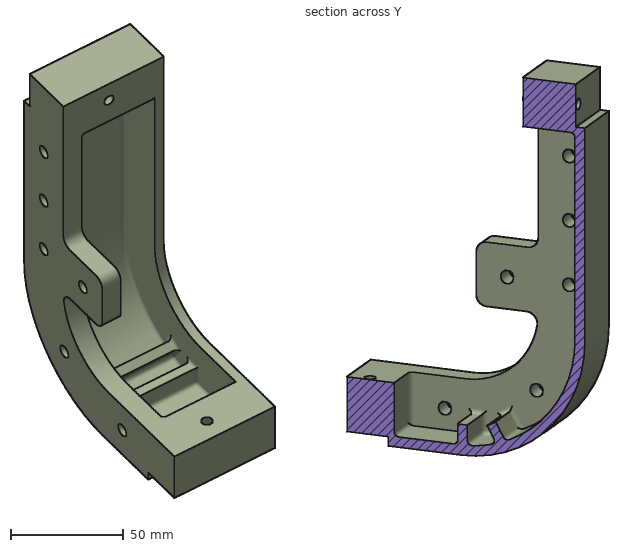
import cadquery as cq
import math

width = 115.0
depth = 55.0
height = 180.0
arm = 30.0
outer_radius = 60.0
inner_radius = 35.0
arc_start = arm + inner_radius

rebate_depth = 4.3
rebate_length = 20.0

front_wall = 10.0
tab_reach = 60.0
tab_bottom = arc_start
tab_height = 30.0
tab_round = 5.0

wall = 5.0
end_block = 23.0
channel_fillet = 2.0
channel_depth = depth - front_wall - wall
opening_margin = 18.0
tolerance = 0.02

rib_width = 4.9
rib_height = 9.5
rib_sink = 2.7
leaning_rib = (40.5, 8.3, 30.0)
upright_rib = (59.13, wall, 0.0)

front_hole = 6.1
end_hole = 5.0
end_hole_y = 25.0
end_hole_inset = 10.0
front_hole_places = [
    (arm / 2, 140.0),
    (arm / 2, 110.0),
    (arm / 2, 80.0),
    (30.8, 28.8),
    (75.0, arm / 2),
    (45.0, 80.0),
]


def plane_at(y):
    """XZ plane at the given Y whose extrusions run towards +Y."""
    return cq.Workplane(cq.Plane(origin=(0, y, 0), xDir=(1, 0, 0), normal=(0, -1, 0)))


def bend_point(radius, centre=outer_radius):
    """Middle point (X, Z) of a quarter bend whose centre lies on the diagonal X = Z."""
    along = centre - radius * math.sqrt(0.5)
    return (along, along)


def make_arm():
    """Solid L-shaped arm with its rounded bend and the rebates at both ends."""
    return (
        plane_at(0)
        .moveTo(0, outer_radius)
        .threePointArc(bend_point(outer_radius), (outer_radius, 0))
        .lineTo(width - rebate_length, 0)
        .lineTo(width - rebate_length, rebate_depth)
        .lineTo(width, rebate_depth)
        .lineTo(width, arm)
        .lineTo(arc_start, arm)
        .threePointArc(bend_point(inner_radius, arc_start), (arm, arc_start))
        .lineTo(arm, height)
        .lineTo(rebate_depth, height)
        .lineTo(rebate_depth, height - rebate_length)
        .lineTo(0, height - rebate_length)
        .close()
        .extrude(-depth)
    )


def make_tab():
    """Tab with rounded outer corners and concave rounds where it leaves the arm."""
    tab_top = tab_bottom + tab_height
    round_x = arc_start - math.sqrt((inner_radius - tab_round) ** 2 - tab_round**2)
    touch_angle = math.pi + math.asin(tab_round / (inner_radius - tab_round))
    mid_angle = (math.pi / 2 + touch_angle) / 2
    touch_x = arc_start + inner_radius * math.cos(touch_angle)
    touch_z = arc_start + inner_radius * math.sin(touch_angle)
    lower_mid = (
        round_x + tab_round * math.cos(mid_angle),
        tab_bottom - tab_round + tab_round * math.sin(mid_angle),
    )
    corner_mid = tab_round * (1 - math.sqrt(0.5))
    return (
        plane_at(0)
        .moveTo(arm / 2, touch_z)
        .lineTo(touch_x, touch_z)
        .threePointArc(lower_mid, (round_x, tab_bottom))
        .lineTo(tab_reach - tab_round, tab_bottom)
        .threePointArc(
            (tab_reach - corner_mid, tab_bottom + corner_mid), (tab_reach, tab_bottom + tab_round)
        )
        .lineTo(tab_reach, tab_top - tab_round)
        .threePointArc(
            (tab_reach - corner_mid, tab_top - corner_mid), (tab_reach - tab_round, tab_top)
        )
        .lineTo(arm + tab_round, tab_top)
        .threePointArc((arm + corner_mid, tab_top + corner_mid), (arm, tab_top + tab_round))
        .lineTo(arm / 2, tab_top + tab_round)
        .close()
        .extrude(-front_wall)
    )


def make_rib(foot_x, foot_z, lean):
    """Rib across the channel, sunk below its foot and tilted towards +X."""
    rib = (
        cq.Workplane("XY")
        .box(rib_width, channel_depth, rib_height + rib_sink, centered=(True, False, False))
        .translate((0, 0, -rib_sink))
        .rotate((0, 0, 0), (0, 1, 0), lean)
    )
    return rib.translate((foot_x, front_wall, foot_z))


def make_channel():
    """Void of the channel, with the ribs left standing and its inside corners rounded."""
    floor_radius = outer_radius - wall
    open_side = arc_start + opening_margin
    channel = (
        plane_at(front_wall)
        .moveTo(wall, outer_radius)
        .threePointArc(bend_point(floor_radius), (outer_radius, wall))
        .lineTo(width - end_block, wall)
        .lineTo(width - end_block, open_side)
        .lineTo(open_side, open_side)
        .lineTo(open_side, height - end_block)
        .lineTo(wall, height - end_block)
        .close()
        .extrude(-channel_depth)
    )
    for rib in (leaning_rib, upright_rib):
        channel = channel.cut(make_rib(*rib))
    return channel.newObject(filleted_edges(channel)).fillet(channel_fillet)


def height_above_floor(x, z):
    """Distance of a point in the channel from its curved and flat floor."""
    if x > outer_radius:
        return z - wall
    if z > outer_radius:
        return x - wall
    return outer_radius - wall - math.hypot(x - outer_radius, z - outer_radius)


def filleted_edges(channel):
    """Edges to round: rib and end wall feet, the back of the floor and the front of the rib area."""
    end_x = width - end_block
    end_z = height - end_block
    middle_y = front_wall + channel_depth / 2
    ribs_from = leaning_rib[0] - rib_width
    ribs_to = upright_rib[0] + rib_width
    chosen = []
    for edge in channel.edges().vals():
        middle = edge.positionAt(0.5)
        rise = height_above_floor(middle.x, middle.z)
        near_floor = rise < arm - wall
        if abs(middle.y - middle_y) < tolerance:
            is_seam = abs(middle.z - outer_radius) < tolerance
            wanted = abs(rise) < tolerance and not is_seam
        elif middle.y > middle_y:
            wanted = near_floor
        else:
            end_corner = abs(middle.x - end_x) < tolerance or abs(middle.z - end_z) < tolerance
            wanted = end_corner or (near_floor and ribs_from < middle.x < ribs_to)
        if wanted:
            chosen.append(edge)
    return chosen


def make_holes():
    """Holes through the front wall and tab, and one through each arm end."""
    holes = plane_at(0).pushPoints(front_hole_places).circle(front_hole / 2).extrude(-front_wall)
    floor_end = (
        cq.Workplane("XY")
        .center(width - end_hole_inset, end_hole_y)
        .circle(end_hole / 2)
        .extrude(arm)
    )
    upper_end = (
        cq.Workplane("YZ")
        .center(end_hole_y, height - end_hole_inset)
        .circle(end_hole / 2)
        .extrude(arm)
    )
    return holes.union(floor_end).union(upper_end)


result = make_arm().union(make_tab()).cut(make_channel()).cut(make_holes())